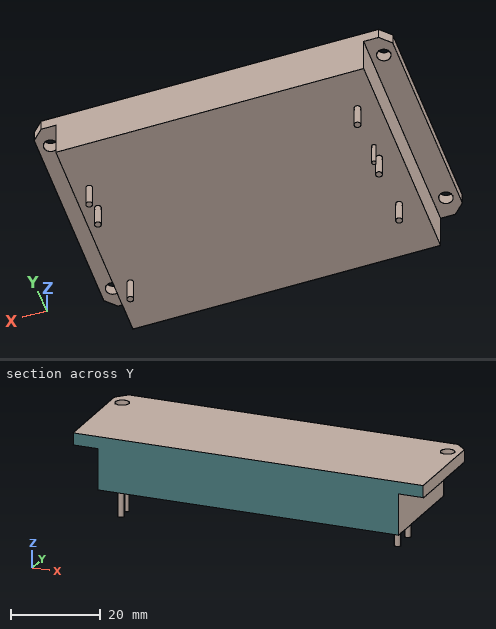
import cadquery as cq

plate_length = 84.5
plate_width = 52.7
plate_thickness = 3.0
corner_chamfer = 2.5

mounting_hole_diameter = 3.2
mounting_hole_spacing_x = 78.5
mounting_hole_spacing_y = 42.5

total_height = 18.85
pin_length = 6.0
plate_overhang = 6.0
body_length = plate_length - 2 * plate_overhang
body_height = total_height - plate_thickness - pin_length
body_bottom_z = -(plate_thickness + body_height)

power_pin_diameter = 1.5
signal_pin_diameter = 1.0
pin_column_spacing = 63.8
left_column_x = -31.3
right_column_x = left_column_x + pin_column_spacing
left_column_pins = [
    (16.2, power_pin_diameter),
    (4.9, signal_pin_diameter),
    (1.45, power_pin_diameter),
    (-12.3, power_pin_diameter),
]
right_column_pins = [
    (14.45, power_pin_diameter),
    (8.45, power_pin_diameter),
    (-13.75, power_pin_diameter),
]


def make_plate():
    """Chamfered rectangular plate with four through holes."""
    return (
        cq.Workplane("XY")
        .rect(plate_length, plate_width)
        .extrude(-plate_thickness)
        .edges("|Z")
        .chamfer(corner_chamfer)
        .faces(">Z")
        .workplane()
        .rect(mounting_hole_spacing_x, mounting_hole_spacing_y, forConstruction=True)
        .vertices()
        .hole(mounting_hole_diameter)
    )


def make_body():
    """Rectangular block hanging from the underside of the plate."""
    return (
        cq.Workplane("XY")
        .workplane(offset=-plate_thickness)
        .rect(body_length, plate_width)
        .extrude(-body_height)
    )


def make_pin(x, y, diameter):
    """Round pin standing down from the bottom of the body."""
    return (
        cq.Workplane("XY")
        .workplane(offset=body_bottom_z)
        .center(x, y)
        .circle(diameter / 2)
        .extrude(-pin_length)
    )


result = make_plate().union(make_body())
for column_x, pins in ((left_column_x, left_column_pins), (right_column_x, right_column_pins)):
    for pin_y, pin_diameter in pins:
        result = result.union(make_pin(column_x, pin_y, pin_diameter))